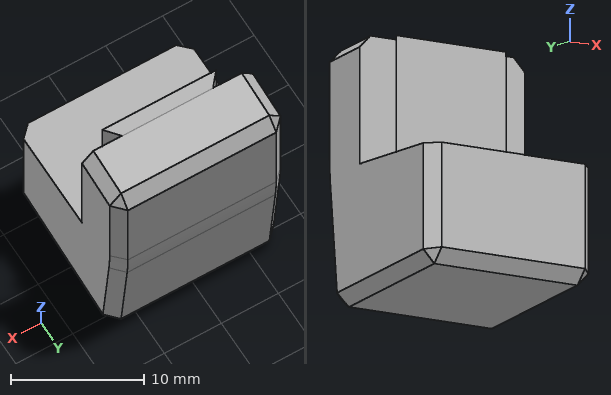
import cadquery as cq
import math

width = 15.0
upright_thickness = 5.0
upright_height = 10.0
ledge_depth = 9.48
lower_back_length = 10.52
tilt = math.radians(6)
bend_radius = 20.0
chamfer = 1.0
tolerance = 0.002

dovetail_depth = 1.2
dovetail_outer_width = 10.0
dovetail_root_width = 8.0

heel_y = upright_thickness - lower_back_length * math.sin(tilt)
heel_z = -lower_back_length * math.cos(tilt)
toe_z = heel_z + (heel_y + ledge_depth) * math.tan(tilt)
top_back_z = upright_height - upright_thickness * math.tan(tilt)

bend_tangent = bend_radius * math.tan(tilt / 2)
bend_end = (
    upright_thickness - bend_tangent * math.sin(tilt),
    -bend_tangent * math.cos(tilt),
)
bend_middle = (
    upright_thickness - bend_radius * (1 - math.cos(tilt / 2)),
    bend_tangent - bend_radius * math.sin(tilt / 2),
)


def make_body():
    """L-shaped block, chamfered everywhere except around the step's two inner faces."""
    block = (
        cq.Workplane("YZ")
        .moveTo(0, 0)
        .lineTo(0, upright_height)
        .lineTo(upright_thickness, top_back_z)
        .lineTo(upright_thickness, bend_tangent)
        .threePointArc(bend_middle, bend_end)
        .lineTo(heel_y, heel_z)
        .lineTo(-ledge_depth, toe_z)
        .lineTo(-ledge_depth, 0)
        .close()
        .extrude(width / 2, both=True)
    )
    def borders_step(edge):
        box = edge.BoundingBox()
        on_ledge = max(abs(box.zmin), abs(box.zmax)) < tolerance
        on_upright = max(abs(box.ymin), abs(box.ymax)) < tolerance
        return on_ledge or on_upright

    def is_smooth_seam(edge):
        center = edge.Center()
        along_width = abs(center.x) < tolerance
        return along_width and abs(center.z) < bend_tangent + tolerance

    outer_edges = block.edges().filter(lambda e: not borders_step(e) and not is_smooth_seam(e))
    return outer_edges.chamfer(chamfer)


def make_dovetail():
    """Rail on the upright's front face, widening away from it."""
    root = dovetail_root_width / 2
    outer = dovetail_outer_width / 2
    return (
        cq.Workplane("XY")
        .polyline([
            (-root, 0),
            (root, 0),
            (outer, -dovetail_depth),
            (-outer, -dovetail_depth),
        ])
        .close()
        .extrude(upright_height)
    )


result = make_body().union(make_dovetail())